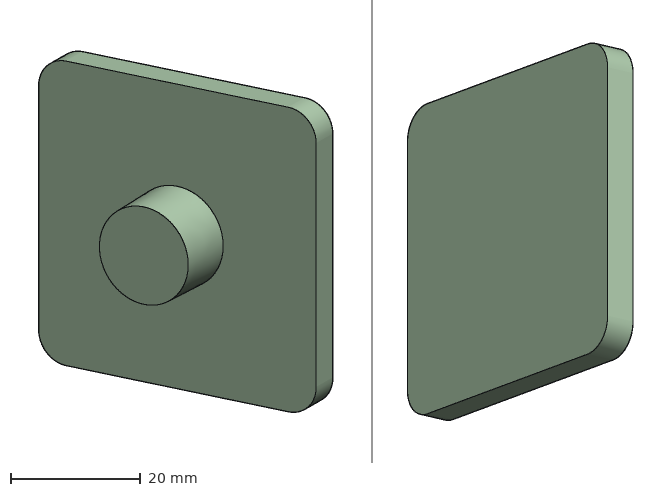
import cadquery as cq

plate_side = 50.0
plate_thickness = 5.0
corner_radius = 5.0

boss_base_diameter = 16.5
boss_tip_diameter = 16.0
boss_length = 10.0


def make_plate():
    return (
        cq.Workplane("XY")
        .box(plate_side, plate_thickness, plate_side, centered=(True, False, True))
        .edges("|Y")
        .fillet(corner_radius)
    )


def make_boss():
    return (
        cq.Workplane("XZ")
        .circle(boss_base_diameter / 2)
        .workplane(offset=boss_length)
        .circle(boss_tip_diameter / 2)
        .loft(ruled=True)
    )


result = make_plate().union(make_boss())